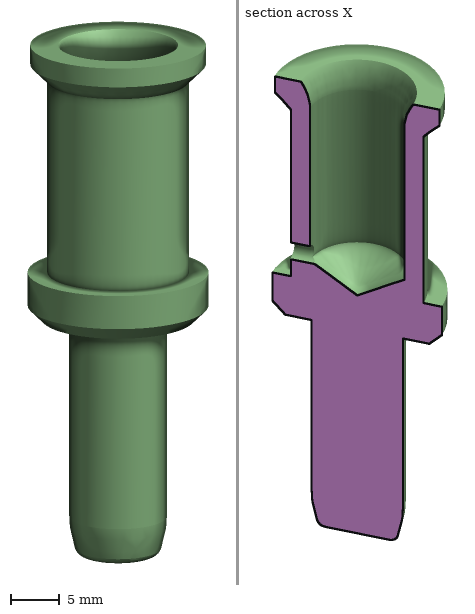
import cadquery as cq
import math

total_height = 54.0
collar_bottom = 25.0
collar_top = 29.9
rim_height = 2.0
bore_floor = 32.3
side_hole_height = 33.0

pin_radius = 10.0 / 2
collar_radius = 18.5 / 2
body_radius = 14.5 / 2
rim_radius = 18.0 / 2
bore_radius = 10.25 / 2
side_hole_radius = 2.0 / 2

collar_chamfer = 1.4
tip_height = 4.0
tip_curve_radius = 10.0
tip_fillet = 0.95
mouth_depth = 3.0
mouth_curve_radius = 5.0
drill_point_angle = 118


def arc_inset(arc_radius, height):
    """Sideways drift of an arc, starting vertical, over the given height."""
    return arc_radius - math.sqrt(arc_radius**2 - height**2)


def make_outside():
    """Revolved pin, collar, body and rim, with a rounded pin tip."""
    tip_radius = pin_radius - arc_inset(tip_curve_radius, tip_height)
    tip_middle_radius = pin_radius - arc_inset(tip_curve_radius, tip_height / 2)
    rim_bottom = total_height - rim_height
    rim_overhang = rim_radius - body_radius
    profile = (
        cq.Workplane("XZ")
        .moveTo(0, 0)
        .lineTo(tip_radius, 0)
        .threePointArc((tip_middle_radius, tip_height / 2), (pin_radius, tip_height))
        .lineTo(pin_radius, collar_bottom)
        .lineTo(collar_radius - collar_chamfer, collar_bottom)
        .lineTo(collar_radius, collar_bottom + collar_chamfer)
        .lineTo(collar_radius, collar_top)
        .lineTo(body_radius, collar_top)
        .lineTo(body_radius, rim_bottom - rim_overhang)
        .lineTo(rim_radius, rim_bottom)
        .lineTo(rim_radius, total_height)
        .lineTo(0, total_height)
        .close()
    )
    solid = profile.revolve(360, (0, 0, 0), (0, 1, 0))
    return solid.faces("<Z").edges().fillet(tip_fillet)


def make_bore():
    """Blind bore with a flared, rounded mouth and a drill-point floor."""
    point_depth = bore_radius / math.tan(math.radians(drill_point_angle / 2))
    mouth_bottom = total_height - mouth_depth
    mouth_radius = bore_radius + arc_inset(mouth_curve_radius, mouth_depth)
    mouth_middle_radius = bore_radius + arc_inset(mouth_curve_radius, mouth_depth / 2)
    profile = (
        cq.Workplane("XZ")
        .moveTo(0, bore_floor - point_depth)
        .lineTo(bore_radius, bore_floor)
        .lineTo(bore_radius, mouth_bottom)
        .threePointArc(
            (mouth_middle_radius, total_height - mouth_depth / 2),
            (mouth_radius, total_height),
        )
        .lineTo(0, total_height)
        .close()
    )
    return profile.revolve(360, (0, 0, 0), (0, 1, 0))


def make_side_hole():
    """Inspection hole through the +Y wall, just above the bore floor."""
    return (
        cq.Workplane("XZ")
        .center(0, side_hole_height)
        .circle(side_hole_radius)
        .extrude(-collar_radius)
    )


result = make_outside().cut(make_bore()).cut(make_side_hole())